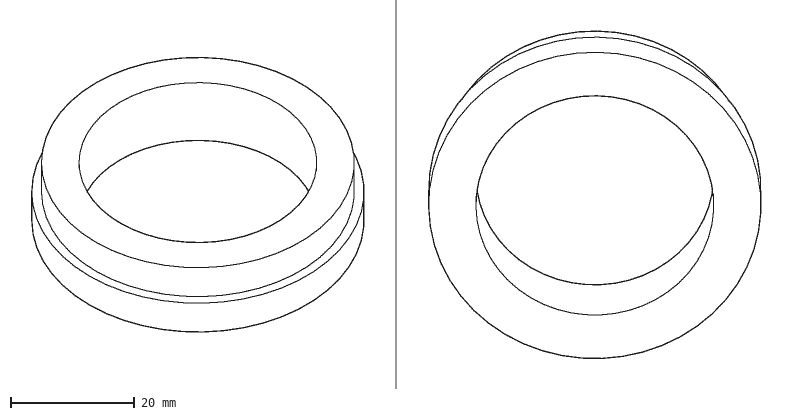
import cadquery as cq

flange_diameter = 53.975
collar_diameter = 50.8
bore_diameter = 38.6
total_height = 12.7
flange_height = total_height / 2
collar_height = total_height - flange_height


def make_ring(diameter, height, base_z):
    """Flat ring of the given outside diameter, pierced by the common bore."""
    return (
        cq.Workplane("XY")
        .workplane(offset=base_z)
        .circle(diameter / 2)
        .circle(bore_diameter / 2)
        .extrude(height)
    )


flange = make_ring(flange_diameter, flange_height, 0)
collar = make_ring(collar_diameter, collar_height, flange_height)

result = flange.union(collar)